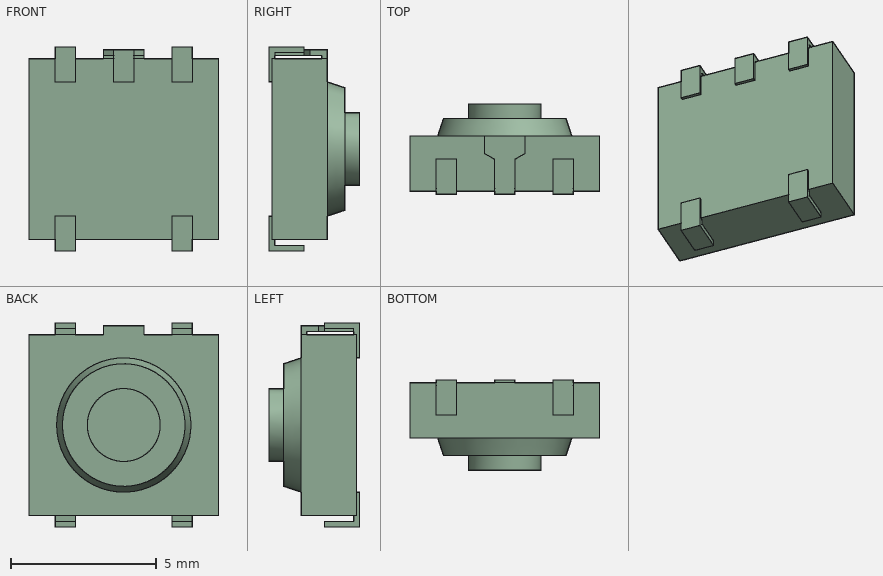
import cadquery as cq

body_width = 6.5
body_depth = 1.9
body_height = 6.2
standoff = 0.1
body_back = standoff + body_depth
body_top = body_height / 2

dome_base_diameter = 4.6
dome_top_diameter = 4.2
dome_depth = 0.6
button_diameter = 2.5
button_depth = 0.5

sheet = 0.2
lead_width = 0.7
lead_length = 1.2
lead_offset_x = 2.0
lead_reach = 3.5

tab_rise = 0.3
tab_top = body_top + tab_rise
tab_underside = tab_top - sheet
tab_wide = 1.4
tab_wide_depth = 0.6
tab_taper_depth = 0.2
foot_end = lead_reach - lead_length


def make_body():
    """Rectangular housing, centred on x and z."""
    center_y = standoff + body_depth / 2
    return cq.Workplane("XY").box(body_width, body_depth, body_height).translate((0, center_y, 0))


def make_actuator():
    """Conical dome with a round button, revolved about the y axis."""
    dome_end = body_back + dome_depth
    button_end = dome_end + button_depth
    profile = (
        cq.Workplane("XY")
        .moveTo(0, body_back)
        .lineTo(dome_base_diameter / 2, body_back)
        .lineTo(dome_top_diameter / 2, dome_end)
        .lineTo(button_diameter / 2, dome_end)
        .lineTo(button_diameter / 2, button_end)
        .lineTo(0, button_end)
        .close()
    )
    return profile.revolve(360, (0, 0, 0), (0, 1, 0))


def make_upper_lead(center_x):
    """L-shaped lead: a foot sunk partly into the front face, a leg held above the top."""
    return (
        cq.Workplane("YZ")
        .moveTo(0, foot_end)
        .lineTo(0, lead_reach)
        .lineTo(lead_length, lead_reach)
        .lineTo(lead_length, lead_reach - sheet)
        .lineTo(sheet, lead_reach - sheet)
        .lineTo(sheet, foot_end)
        .close()
        .extrude(lead_width / 2, both=True)
        .translate((center_x, 0, 0))
    )


def make_ground_tab():
    """Tab over the top face, widened at the back and bent down at both ends."""
    wide_end = body_back - tab_wide_depth
    narrow_start = wide_end - tab_taper_depth
    plate = (
        cq.Workplane("XY", origin=(0, 0, tab_underside))
        .moveTo(-lead_width / 2, 0)
        .lineTo(lead_width / 2, 0)
        .lineTo(lead_width / 2, narrow_start)
        .lineTo(tab_wide / 2, wide_end)
        .lineTo(tab_wide / 2, body_back)
        .lineTo(-tab_wide / 2, body_back)
        .lineTo(-tab_wide / 2, wide_end)
        .lineTo(-lead_width / 2, narrow_start)
        .close()
        .extrude(sheet)
    )
    foot = cq.Workplane("XY", origin=(0, sheet / 2, foot_end)).rect(lead_width, sheet)
    foot = foot.extrude(tab_top - foot_end)
    back_leg = cq.Workplane("XY", origin=(0, body_back - sheet / 2, body_top)).rect(tab_wide, sheet)
    back_leg = back_leg.extrude(tab_rise)
    return plate.union(foot).union(back_leg)


result = make_body().union(make_actuator()).union(make_ground_tab())
for side in (-1, 1):
    upper_lead = make_upper_lead(side * lead_offset_x)
    lower_lead = upper_lead.mirror("XY")
    result = result.union(upper_lead).union(lower_lead)